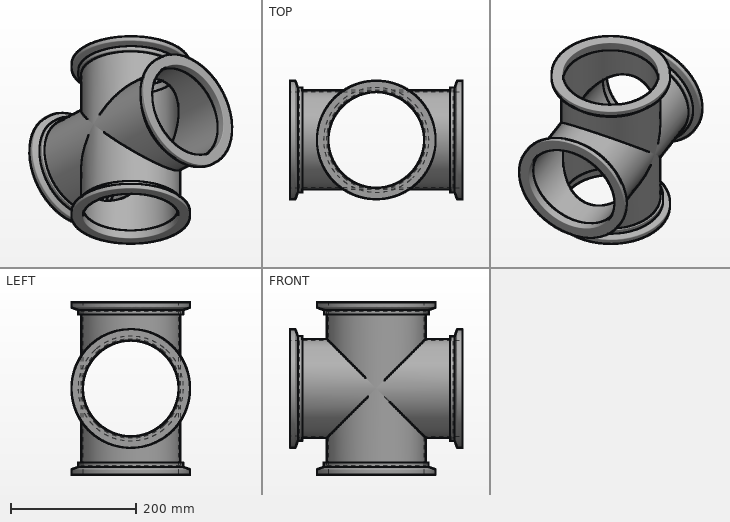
import cadquery as cq

SPAN = 276.0

PIPE_OD = 159.0
BORE = 153.0

FLANGE_OD = 190.0
HUB_OD = 168.0
RIM_HEIGHT = 8.8
CONE_END = 12.7
FLANGE_HEIGHT = 20.0
SOCKET_START = 15.0
EDGE_ROUND = 0.8
RIM_BACK_ROUND = 2.0

ARM_ANGLES = [0, 90, 180, 270]


def make_rod(axis, diameter, length):
    """Solid cylinder centred on the origin along the named axis."""
    start_planes = {"X": "YZ", "Z": "XY"}
    return cq.Workplane(start_planes[axis]).circle(diameter / 2).extrude(length / 2, both=True)


def make_cross():
    """Two equal pipes crossing at right angles, seated in the flange sockets."""
    pipe_length = SPAN - 2 * SOCKET_START
    outside = make_rod("X", PIPE_OD, pipe_length).union(make_rod("Z", PIPE_OD, pipe_length))
    inside = make_rod("X", BORE, SPAN).union(make_rod("Z", BORE, SPAN))
    return outside.cut(inside)


def make_flange():
    """Flange of the upper arm: rim, conical back, hub and a socket for the pipe."""
    face = SPAN / 2
    hub_end = face - FLANGE_HEIGHT
    socket_end = face - SOCKET_START
    rim_back = face - RIM_HEIGHT
    outline = [
        (BORE / 2, face),
        (FLANGE_OD / 2, face),
        (FLANGE_OD / 2, rim_back),
        (HUB_OD / 2, face - CONE_END),
        (HUB_OD / 2, hub_end),
        (PIPE_OD / 2, hub_end),
        (PIPE_OD / 2, socket_end),
        (BORE / 2, socket_end),
    ]
    flange = cq.Workplane("XZ").polyline(outline).close().revolve(360, (0, 0), (0, 1))

    face_edges = flange.faces(">Z").edges("%CIRCLE")
    flange = face_edges.fillet(EDGE_ROUND)
    hub_edge = flange.faces("<Z").edges(cq.selectors.RadiusNthSelector(-1))
    flange = hub_edge.fillet(EDGE_ROUND)

    tolerance = EDGE_ROUND / 10
    reach = FLANGE_OD
    rim_level = cq.selectors.BoxSelector(
        (-reach, -reach, rim_back - tolerance),
        (reach, reach, rim_back + tolerance),
        boundingbox=True,
    )
    return flange.edges(rim_level).edges("%CIRCLE").fillet(RIM_BACK_ROUND)


cross = make_cross()
flange = make_flange()
flanges = [flange.rotate((0, 0, 0), (0, 1, 0), angle) for angle in ARM_ANGLES]

result = cq.Compound.makeCompound([cross.val(), *[arm_flange.val() for arm_flange in flanges]])